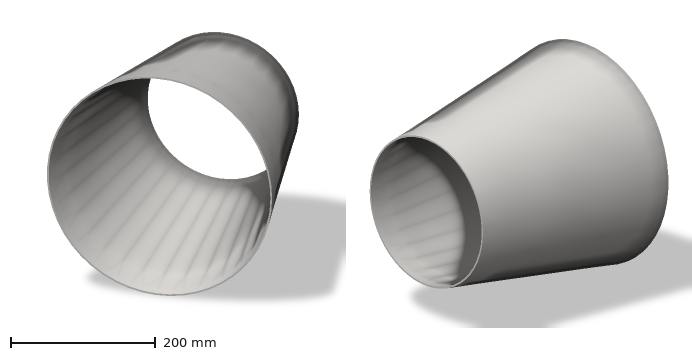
import cadquery as cq

length = 312.0
wide_diameter = 324.0
narrow_diameter = 220.0
wall = 2.5

wide_radius = wide_diameter / 2
narrow_radius = narrow_diameter / 2

result = (
    cq.Workplane("XY")
    .moveTo(wide_radius - wall, 0)
    .lineTo(wide_radius, 0)
    .lineTo(narrow_radius, length)
    .lineTo(narrow_radius - wall, length)
    .close()
    .revolve(360, (0, 0, 0), (0, 1, 0))
)